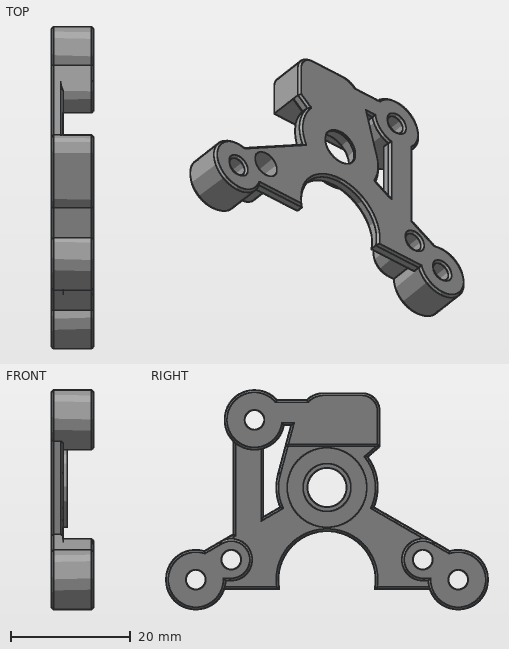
import cadquery as cq
import math

total_depth = 7.1
plate_depth = 2.0
shaft_collar_depth = 2.7
chamfer = 0.4

overall_height = 36.7
boss_radius = 5.0
foot_spacing = 43.84
foot_across = foot_spacing / 2
foot_up = boss_radius
left_foot = (-foot_across, foot_up)
right_foot = (foot_across, foot_up)
top_boss = (12.12, overall_height - boss_radius)

screw_diameter = 3.25
insert_diameter = 4.7
insert_depth = 5.0

shoulder_angle = math.radians(30)
small_boss_across = 16.0
small_boss_up = 8.34
small_boss_radius = 3.5
tangent_across = small_boss_across + small_boss_radius * math.sin(shoulder_angle)
insert_boss = (-small_boss_across, small_boss_up)
screw_boss = (small_boss_across, small_boss_up)

shaft_up = 20.4
shaft_center = (0, shaft_up)
hub_radius = 8.5
collar_diameter = 13.3
shaft_diameter = 6.5
bearing_diameter = 8.0
shaft_lip = 0.4

arch_center = (0, foot_up)
arch_radius = 8.1
base_up = 3.4

head_left = -8.82
head_top = 36.185
head_corner_radius = 3.0
head_round_start = 0.55
head_round_radius = 4.0
head_bottom = 27.25
head_throat = (-6.81, 25.5)
strip_top = 35.02

arm_left = 10.62
arm_right = 15.65
slot_top = 30.8
slot_lean = math.radians(15)
hub_tangent = (
    hub_radius * math.cos(slot_lean),
    shaft_up + hub_radius * math.sin(slot_lean),
)


def profile_plane():
    """Workplane on the mounting face; a negative extrusion goes toward +X."""
    return cq.Workplane(cq.Plane(origin=(0, 0, 0), xDir=(0, -1, 0), normal=(-1, 0, 0)))


def polygon(points):
    return profile_plane().polyline(points).close()


def slab(outline, depth):
    """Extrude a profile from X = 0 and bevel the rims of both faces."""
    return outline.extrude(-depth).faces("<X or >X").edges().chamfer(chamfer)


def boss(center, radius, depth):
    return slab(profile_plane().center(*center).circle(radius), depth)


def cylinder(center, diameter, depth):
    return profile_plane().center(*center).circle(diameter / 2).extrude(-depth)


def rim_cone(center, radius, face_x, inward):
    """Cone that bevels the rim of a round opening at X = face_x."""
    rim = cq.Vector(face_x, -center[0], center[1])
    cone = cq.Solid.makeCone(radius + chamfer, radius, chamfer, rim, cq.Vector(inward, 0, 0))
    return cq.Workplane(cone)


def shoulder_height(across):
    """Height of the sloped upper edge, which rises toward the middle."""
    crest = small_boss_up + small_boss_radius / math.cos(shoulder_angle)
    return crest + (small_boss_across - abs(across)) * math.tan(shoulder_angle)


def shoulders():
    outline = [
        (-foot_across, base_up),
        (foot_across, base_up),
        (foot_across, shoulder_height(foot_across)),
        (0, shoulder_height(0)),
        (-foot_across, shoulder_height(foot_across)),
    ]
    return slab(polygon(outline), plate_depth)


def arm():
    outline = [
        (arm_left, small_boss_up),
        (arm_right, small_boss_up),
        (arm_right, top_boss[1]),
        (arm_left, top_boss[1]),
    ]
    return slab(polygon(outline), plate_depth)


def arch_opening():
    opening = cylinder(arch_center, 2 * arch_radius, plate_depth)
    opening = opening.union(rim_cone(arch_center, arch_radius, 0, 1))
    return opening.union(rim_cone(arch_center, arch_radius, plate_depth, -1))


def slot_side(up):
    """Point on the leaning side of the slot, a line tangent to the hub."""
    return (hub_tangent[0] - (up - hub_tangent[1]) * math.tan(slot_lean), up)


def head(depth, underside):
    """Rounded head and its strip to the top boss, closed along the underside points."""
    corner_offset = head_corner_radius * (1 - math.sqrt(0.5))
    round_drop = head_top - strip_top
    round_angle = math.acos(1 - round_drop / head_round_radius)
    round_middle = (
        head_round_start + head_round_radius * math.sin(round_angle / 2),
        head_top - head_round_radius * (1 - math.cos(round_angle / 2)),
    )
    round_end = (head_round_start + head_round_radius * math.sin(round_angle), strip_top)
    outline = (
        profile_plane()
        .moveTo(head_left, head_bottom)
        .lineTo(head_left, head_top - head_corner_radius)
        .threePointArc(
            (head_left + corner_offset, head_top - corner_offset),
            (head_left + head_corner_radius, head_top),
        )
        .lineTo(head_round_start, head_top)
        .threePointArc(round_middle, round_end)
        .lineTo(top_boss[0], strip_top)
        .lineTo(top_boss[0], slot_top)
        .lineTo(*slot_side(slot_top))
    )
    for point in underside:
        outline = outline.lineTo(*point)
    return slab(outline.close(), depth)


def plate():
    """Thin web that joins the feet, hub, head and arm over the arch."""
    body = shoulders()
    body = body.union(boss(shaft_center, hub_radius, plate_depth))
    body = body.union(head(plate_depth, [hub_tangent, shaft_center, head_throat]))
    body = body.union(arm())
    return body.cut(arch_opening())


def foot_block(foot, small_boss):
    """Full-depth foot merged with its neighbouring small boss."""
    tangent = math.copysign(tangent_across, foot[0])
    web_bottom = small_boss_up - small_boss_radius
    web = [
        (small_boss[0], web_bottom),
        (foot[0], web_bottom),
        (foot[0], shoulder_height(foot[0])),
        (tangent, shoulder_height(tangent)),
        small_boss,
    ]
    block = slab(polygon(web), total_depth)
    block = block.union(boss(small_boss, small_boss_radius, total_depth))
    return block.union(boss(foot, boss_radius, total_depth))


def top_block():
    """Full-depth head merged with the top boss."""
    block = head(total_depth, [slot_side(head_bottom)])
    return block.union(boss(top_boss, boss_radius, total_depth))


def square_shoulder_rim():
    """Keep the back rim unbevelled between the arm and the right small boss."""
    outline = [
        (arm_right, small_boss_up),
        (arm_right, shoulder_height(arm_right)),
        (tangent_across, shoulder_height(tangent_across)),
        (tangent_across, small_boss_up),
    ]
    prism = polygon(outline).extrude(-plate_depth)
    return prism.faces("<X").edges().chamfer(chamfer)


def screw_hole(center):
    """Through hole with a bevelled rim at the mounting face."""
    through = cylinder(center, screw_diameter, total_depth)
    return through.union(rim_cone(center, screw_diameter / 2, 0, 1))


def insert_hole(center):
    """Through hole counterbored from the mounting face."""
    through = cylinder(center, screw_diameter, total_depth)
    return through.union(cylinder(center, insert_diameter, insert_depth))


def shaft_hole():
    """Bearing seat open at the back, with a thin lip left at the mounting face."""
    through = cylinder(shaft_center, shaft_diameter, shaft_collar_depth)
    seat = cylinder(shaft_center, bearing_diameter, shaft_collar_depth)
    return through.union(seat.translate((shaft_lip, 0, 0)))


result = plate()
result = result.union(foot_block(left_foot, insert_boss))
result = result.union(foot_block(right_foot, screw_boss))
result = result.union(top_block())
result = result.union(square_shoulder_rim())
result = result.union(cylinder(shaft_center, collar_diameter, shaft_collar_depth))
result = result.cut(shaft_hole())
for hole_center in (left_foot, right_foot, top_boss, screw_boss):
    result = result.cut(screw_hole(hole_center))
result = result.cut(insert_hole(insert_boss))